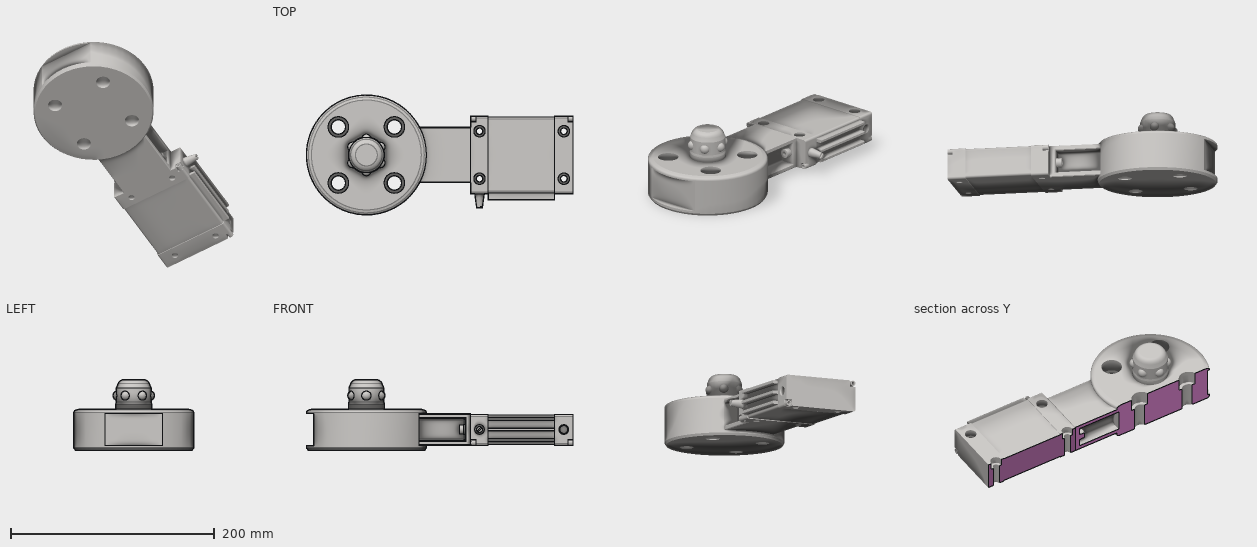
import cadquery as cq

MID_HEIGHT = 20.5

DISC_RADIUS = 59.0
DISC_HEIGHT = 40.3
BOTTOM_CHAMFER_WIDTH = 1.5
BOTTOM_CHAMFER_HEIGHT = 2.4
SHOULDER_RADIUS = 56.9
SHOULDER_HEIGHT = 39.5
RIM_HEIGHT = 37.0
RIM_BULGE_RADIUS = 58.5
RIM_BULGE_HEIGHT = 38.5
TOP_FACE_RADIUS = 54.0
FLAT_DISTANCE = 52.0

DISC_HOLE_OFFSET = 27.5
DISC_HOLE_DIAMETER = 14.0
DISC_BORE_DIAMETER = 20.2
DISC_BORE_DEPTH = 13.5

STUD_BASE_RADIUS = 17.8
STUD_BASE_TOP = 45.0
STUD_RADIUS = 17.3
STUD_CHAMFER_TOP = 47.5
STUD_STRAIGHT_TOP = 61.0
STUD_CONE_RADIUS = 15.5
STUD_CONE_TOP = 65.5
STUD_TIP_RADIUS = 10.7
STUD_TOP = 69.5
BALL_COUNT = 6
BALL_RADIUS = 4.7
BALL_ORBIT = 15.7
BALL_HEIGHT = 53.7
BALL_START_ANGLE = 30

ARM_WIDTH = 54.5
ARM_HEIGHT = 31.5
ARM_CHAMFER = 0.8
ARM_END = 102.5
POCKET_END = 97
POCKET_HEIGHT = 22.0
POCKET_DEPTH = 14.0
POCKET_FILLET = 1.5
POCKET_RIM_CHAMFER = 0.8

SCREW_OFFSET = 20.5
SCREW_RADIUS = 4.5
SCREW_HEAD_LENGTH = 5.5
WASHER_RADIUS = 4.7
WASHER_THICKNESS = 1.5
SCREW_SOCKET_DIAMETER = 4.2
SCREW_SOCKET_DEPTH = 3.1

BLOCK_START = ARM_END
TOTAL_LENGTH = 262
BLOCK_END = TOTAL_LENGTH - DISC_RADIUS
FRONT_CAP_LENGTH = 17.0
REAR_CAP_LENGTH = 18.0
CAP_HALF_WIDTH = 38.3
CAP_BOTTOM = 4.7
BLOCK_TOP = 35.5
MIDDLE_INSET = 0.8
MIDDLE_TOP_INSET = 0.5
EDGE_FILLET = 2.0

RIB_COUNT = 3
RIB_SPACING = 10.2
RIB_THICKNESS = 3.1
RIB_REACH = 44.0
RIB_CHAMFER = 0.5

CAP_HOLE_X = (111.0, 194)
CAP_HOLE_OFFSET = 23.3
CAP_HOLE_DIAMETER = 6.3
CAP_BORE_DIAMETER = 11.3
CAP_BORE_DEPTH = 7.3
PLUG_HOLE_DIAMETER = 7.9
PLUG_HOLE_DEPTH = 5.2
PLUG_HOLE_CHAMFER = 0.8
PIN_BASE_RADIUS = 4.7
PIN_TIP_RADIUS = 3.0
PIN_LENGTH = 13.5
PIN_SLOT_WIDTH = 1.3
PIN_SLOT_DEPTH = 1.0
PIN_SLOT_ANGLE = 45

NOTCH_LENGTH = 5.2
NOTCH_SIZE = 6.0
LUG_RADIUS = 2.5
LUG_HOLE_DIAMETER = 3.1


def box_between(x0, x1, y0, y1, z0, z1):
    """Box that spans the given ranges."""
    return cq.Workplane("XY").box(x1 - x0, y1 - y0, z1 - z0, centered=False).translate((x0, y0, z0))


def rod_along_x(x0, x1, y, z, radius):
    """Cylinder parallel to the X axis."""
    return cq.Workplane("YZ", origin=(x0, y, z)).circle(radius).extrude(x1 - x0)


def counterbored_hole_cutter(points, top, hole_diameter, bore_diameter, bore_depth):
    """Through holes down to Z = 0 with wider bores at the top."""
    holes = cq.Workplane("XY").pushPoints(points).circle(hole_diameter / 2).extrude(top)
    bores = (
        cq.Workplane("XY", origin=(0, 0, top))
        .pushPoints(points).circle(bore_diameter / 2).extrude(-bore_depth)
    )
    return holes.union(bores)


def make_disc():
    disc = (
        cq.Workplane("XZ")
        .moveTo(0, 0)
        .lineTo(DISC_RADIUS - BOTTOM_CHAMFER_WIDTH, 0)
        .lineTo(DISC_RADIUS, BOTTOM_CHAMFER_HEIGHT)
        .lineTo(DISC_RADIUS, RIM_HEIGHT)
        .threePointArc((RIM_BULGE_RADIUS, RIM_BULGE_HEIGHT), (SHOULDER_RADIUS, SHOULDER_HEIGHT))
        .lineTo(TOP_FACE_RADIUS, DISC_HEIGHT)
        .lineTo(0, DISC_HEIGHT)
        .close()
        .revolve(360, (0, 0, 0), (0, 1, 0))
    )
    flat_bottom = MID_HEIGHT - ARM_HEIGHT / 2
    flat_top = MID_HEIGHT + ARM_HEIGHT / 2
    for x0, x1 in ((-DISC_RADIUS, -FLAT_DISTANCE), (FLAT_DISTANCE, DISC_RADIUS)):
        disc = disc.cut(box_between(x0, x1, -DISC_RADIUS, DISC_RADIUS, flat_bottom, flat_top))
    return disc


def make_stud():
    stud = (
        cq.Workplane("XZ")
        .moveTo(0, DISC_HEIGHT)
        .lineTo(STUD_BASE_RADIUS, DISC_HEIGHT)
        .lineTo(STUD_BASE_RADIUS, STUD_BASE_TOP)
        .lineTo(STUD_RADIUS, STUD_CHAMFER_TOP)
        .lineTo(STUD_RADIUS, STUD_STRAIGHT_TOP)
        .lineTo(STUD_CONE_RADIUS, STUD_CONE_TOP)
        .tangentArcPoint((STUD_TIP_RADIUS, STUD_TOP), relative=False)
        .lineTo(0, STUD_TOP)
        .close()
        .revolve(360, (0, 0, 0), (0, 1, 0))
    )
    balls = (
        cq.Workplane("XY", origin=(0, 0, BALL_HEIGHT))
        .polarArray(BALL_ORBIT, BALL_START_ANGLE, 360, BALL_COUNT)
        .sphere(BALL_RADIUS)
    )
    return stud.union(balls)


def make_arm_pocket():
    """Pocket volume on the -Y side, with its floor edges rounded and its mouth flared."""
    mouth = -ARM_WIDTH / 2
    floor = mouth + POCKET_DEPTH
    bottom = MID_HEIGHT - POCKET_HEIGHT / 2
    top = MID_HEIGHT + POCKET_HEIGHT / 2
    pocket = (
        box_between(FLAT_DISTANCE, POCKET_END, mouth, floor, bottom, top)
        .faces(">Y").edges("not <X").fillet(POCKET_FILLET)
    )
    rim = POCKET_RIM_CHAMFER
    mouth_length = POCKET_END + rim - FLAT_DISTANCE
    mouth_height = POCKET_HEIGHT + 2 * rim
    flare = (
        cq.Workplane("XZ", origin=(FLAT_DISTANCE, mouth, MID_HEIGHT))
        .center(mouth_length / 2, 0)
        .rect(mouth_length, mouth_height)
        .workplane(offset=-rim)
        .center(-rim / 2, 0)
        .rect(mouth_length - rim, POCKET_HEIGHT)
        .loft(ruled=True)
    )
    return pocket.union(flare)


def make_screw_head():
    """Screw head with a round socket, seated on a washer."""
    head_start = POCKET_END - SCREW_HEAD_LENGTH
    head = rod_along_x(head_start, POCKET_END, -SCREW_OFFSET, MID_HEIGHT, SCREW_RADIUS)
    socket_end = head_start + SCREW_SOCKET_DEPTH
    socket = rod_along_x(head_start, socket_end, -SCREW_OFFSET, MID_HEIGHT, SCREW_SOCKET_DIAMETER / 2)
    washer_start = POCKET_END - WASHER_THICKNESS
    washer = rod_along_x(washer_start, POCKET_END, -SCREW_OFFSET, MID_HEIGHT, WASHER_RADIUS)
    return head.cut(socket).union(washer)


def make_arm():
    half_width = ARM_WIDTH / 2
    bottom = MID_HEIGHT - ARM_HEIGHT / 2
    arm = (
        box_between(FLAT_DISTANCE, ARM_END, -half_width, half_width, bottom, bottom + ARM_HEIGHT)
        .edges("|X").chamfer(ARM_CHAMFER)
    )
    pocket = make_arm_pocket()
    screw_head = make_screw_head()
    arm = arm.cut(pocket).cut(pocket.mirror("XZ"))
    return arm.union(screw_head).union(screw_head.mirror("XZ"))


def make_adapter():
    """Disc, stud and arm as one solid."""
    signs = (-1, 1)
    hole_points = [(i * DISC_HOLE_OFFSET, j * DISC_HOLE_OFFSET) for i in signs for j in signs]
    holes = counterbored_hole_cutter(
        hole_points, DISC_HEIGHT, DISC_HOLE_DIAMETER, DISC_BORE_DIAMETER, DISC_BORE_DEPTH)
    return make_disc().union(make_stud()).union(make_arm()).cut(holes)


def make_cap(x0, x1):
    cap = box_between(x0, x1, -CAP_HALF_WIDTH, CAP_HALF_WIDTH, CAP_BOTTOM, BLOCK_TOP)
    return cap.edges("|X").fillet(EDGE_FILLET)


def make_middle_section(x0, x1):
    side = CAP_HALF_WIDTH - MIDDLE_INSET
    middle = box_between(x0, x1, -side, side, CAP_BOTTOM + MIDDLE_INSET, BLOCK_TOP - MIDDLE_TOP_INSET)
    middle = middle.edges("|X").fillet(EDGE_FILLET)
    for index in range(RIB_COUNT):
        rib_z = MID_HEIGHT + (index - (RIB_COUNT - 1) / 2) * RIB_SPACING
        rib = (
            box_between(x0, x1, -RIB_REACH, 0, rib_z - RIB_THICKNESS / 2, rib_z + RIB_THICKNESS / 2)
            .faces("<Y").edges("|X").chamfer(RIB_CHAMFER)
        )
        middle = middle.union(rib)
    return middle


def add_corner_lug(block, notch_start, corner_y, corner_z, inward):
    """Cut a square notch into a cap corner and put a round lug with a hole in it.

    The notch grows from the corner towards +Y +Z for inward = 1 and towards -Y -Z for inward = -1.
    """
    notch_centre = inward * NOTCH_SIZE / 2
    notch = (
        cq.Workplane("YZ", origin=(notch_start, corner_y + notch_centre, corner_z + notch_centre))
        .rect(NOTCH_SIZE, NOTCH_SIZE).extrude(NOTCH_LENGTH)
    )
    notch_end = notch_start + NOTCH_LENGTH
    lug_y = corner_y + inward * LUG_RADIUS
    lug_z = corner_z + inward * LUG_RADIUS
    lug = rod_along_x(notch_start, notch_end, lug_y, lug_z, LUG_RADIUS)
    lug_hole = rod_along_x(notch_start, notch_end, lug_y, lug_z, LUG_HOLE_DIAMETER / 2)
    return block.cut(notch).union(lug.cut(lug_hole))


def make_tapered_pin():
    """Tapered pin with a slotted tip, pointing to -Y."""
    pin = (
        cq.Workplane("XY")
        .lineTo(PIN_BASE_RADIUS, 0)
        .lineTo(PIN_TIP_RADIUS, -PIN_LENGTH)
        .lineTo(0, -PIN_LENGTH)
        .close()
        .revolve(360, (0, 0, 0), (0, 1, 0))
    )
    slot = (
        cq.Workplane("XY")
        .box(2 * PIN_BASE_RADIUS, 2 * PIN_SLOT_DEPTH, PIN_SLOT_WIDTH)
        .rotate((0, 0, 0), (0, 1, 0), -PIN_SLOT_ANGLE)
        .translate((0, -PIN_LENGTH, 0))
    )
    return pin.cut(slot)


def make_plug_hole_cutter():
    """Blind hole along Y with a chamfered mouth at Y = 0."""
    radius = PLUG_HOLE_DIAMETER / 2
    return (
        cq.Workplane("XY")
        .lineTo(radius + PLUG_HOLE_CHAMFER, 0)
        .lineTo(radius, PLUG_HOLE_CHAMFER)
        .lineTo(radius, PLUG_HOLE_DEPTH)
        .lineTo(0, PLUG_HOLE_DEPTH)
        .close()
        .revolve(360, (0, 0, 0), (0, 1, 0))
    )


def make_block():
    """Two caps and the ribbed middle section as one solid."""
    middle_start = BLOCK_START + FRONT_CAP_LENGTH
    middle_end = BLOCK_END - REAR_CAP_LENGTH
    block = (
        make_middle_section(middle_start, middle_end)
        .union(make_cap(BLOCK_START, middle_start))
        .union(make_cap(middle_end, BLOCK_END))
    )

    for notch_start in (BLOCK_START, BLOCK_END - NOTCH_LENGTH):
        block = add_corner_lug(block, notch_start, CAP_HALF_WIDTH, BLOCK_TOP, inward=-1)
        block = add_corner_lug(block, notch_start, -CAP_HALF_WIDTH, CAP_BOTTOM, inward=1)

    hole_points = [(x, y) for x in CAP_HOLE_X for y in (-CAP_HOLE_OFFSET, CAP_HOLE_OFFSET)]
    holes = counterbored_hole_cutter(
        hole_points, BLOCK_TOP, CAP_HOLE_DIAMETER, CAP_BORE_DIAMETER, CAP_BORE_DEPTH)

    pin_x, plug_x = CAP_HOLE_X
    plug_hole = make_plug_hole_cutter().translate((plug_x, -CAP_HALF_WIDTH, MID_HEIGHT))
    pin = make_tapered_pin().translate((pin_x, -CAP_HALF_WIDTH, MID_HEIGHT))
    return block.cut(holes).cut(plug_hole).union(pin)


adapter = make_adapter()
block = make_block()
result = cq.Compound.makeCompound([adapter.solids().val(), block.solids().val()])